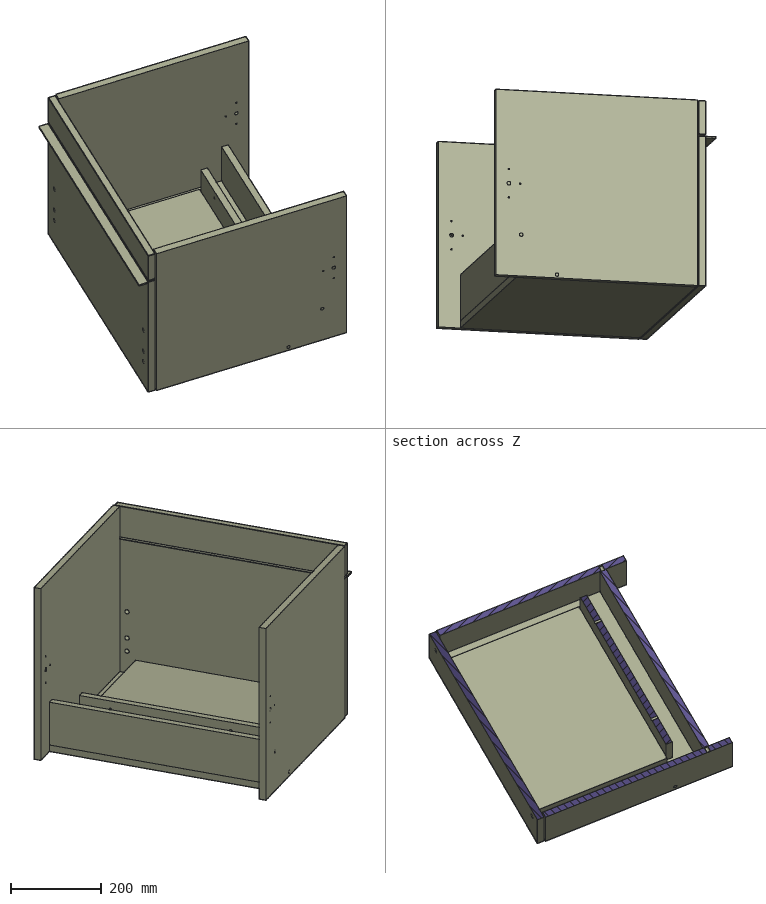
import cadquery as cq

cabinet_width = 553.0
total_depth = 499.5
cabinet_height = 420.0
board = 16.0
side_depth = 458.0
front_gap = 2.0
edge_bevel = 0.95

front_width = 549.5
front_board = 17.0
front_top_drop = 0.5
upper_front_height = 76.5
slit = 4.0
handle_thickness = 4.0

rail_setback = 50.0
rail_top = 120.5

floor_width = 448.0
floor_underside = 33.0
back_width = 434.5
back_top = 114.5
drawer_back_rear = 131.0

side_skin = 2.3
front_skin = 2.05
fitting_hole = 10.0
fitting_spread = 489.0
fitting_heights = (67.5, 99.5, 163.5)
hanger_hole = 8.5
screw_hole = 3.0
hanger_setback = 30.0
hanger_height = 209.0
screw_rise = 32.0
screw_reach = 25.5
dowel_hole = 8.0
rail_dowel_height = 94.0
bottom_dowel_y = 110.5
back_hole = 5.0
back_hole_spread = 286.5
back_hole_height = 94.0

back_y = total_depth / 2
side_front_y = back_y - side_depth
front_back_y = side_front_y - front_gap
front_face_y = front_back_y - front_board
inner_width = cabinet_width - 2 * board
rail_back_y = back_y - rail_setback
front_top = cabinet_height - front_top_drop
upper_front_bottom = front_top - upper_front_height
lower_front_height = upper_front_bottom - slit


def board_box(width, y_front, y_back, z_low, z_high):
    """A plain board centred on X."""
    return (
        cq.Workplane("XY")
        .box(width, y_back - y_front, z_high - z_low, centered=(True, False, False))
        .translate((0, y_front, z_low))
    )


def bore(diameter, depth, start, direction):
    """A cylinder to cut away, running from the start point along the direction."""
    return cq.Workplane(
        cq.Solid.makeCylinder(diameter / 2, depth, cq.Vector(*start), cq.Vector(*direction))
    )


def make_side(side):
    """A side panel with blind holes in its inner face; side is -1 for left, 1 for right."""
    inner_x = side * inner_width / 2
    hanger_y = back_y - hanger_setback
    holes = [
        (hanger_hole, hanger_y, hanger_height),
        (screw_hole, hanger_y, hanger_height + screw_rise),
        (screw_hole, hanger_y, hanger_height - screw_rise),
        (screw_hole, hanger_y - screw_reach, hanger_height),
        (dowel_hole, rail_back_y - board / 2, rail_dowel_height),
        (dowel_hole, bottom_dowel_y, board / 2),
    ]
    panel = board_box(board, side_front_y, back_y, 0, cabinet_height)
    panel = panel.translate((side * (cabinet_width - board) / 2, 0, 0))
    for diameter, y, z in holes:
        panel = panel.cut(bore(diameter, board - side_skin, (inner_x, y, z), (side, 0, 0)))
    return panel


def make_front(z_low, z_high):
    """A front board, bevelled along all its edges."""
    return board_box(front_width, front_face_y, front_back_y, z_low, z_high).edges().chamfer(edge_bevel)


def make_lower_front():
    """The lower front, with two columns of blind fitting holes in its back."""
    front = make_front(0, lower_front_height)
    for side in (-1, 1):
        for z in fitting_heights:
            start = (side * fitting_spread / 2, front_back_y, z)
            front = front.cut(bore(fitting_hole, front_board - front_skin, start, (0, -1, 0)))
    return front


def make_drawer_back():
    """The back board of the drawer, with two holes through it."""
    drawer_back = board_box(
        back_width, drawer_back_rear - board, drawer_back_rear, floor_underside, back_top
    )
    for side in (-1, 1):
        start = (side * back_hole_spread / 2, drawer_back_rear, back_hole_height)
        drawer_back = drawer_back.cut(bore(back_hole, board, start, (0, -1, 0)))
    return drawer_back


sides = [make_side(side) for side in (-1, 1)]
bottom = board_box(inner_width, side_front_y, rail_back_y, 0, board)
rail = board_box(inner_width, rail_back_y - board, rail_back_y, board, rail_top)
upper_front = make_front(upper_front_bottom, front_top)
lower_front = make_lower_front()
handle = board_box(
    front_width, -back_y, front_face_y, lower_front_height - handle_thickness, lower_front_height
)
drawer_floor = board_box(
    floor_width, front_back_y, drawer_back_rear - board, floor_underside, floor_underside + board
)
drawer_back = make_drawer_back()

result = cq.Compound.makeCompound(
    [panel.val() for panel in sides]
    + [part.val() for part in (bottom, rail, upper_front, lower_front, handle, drawer_floor, drawer_back)]
)